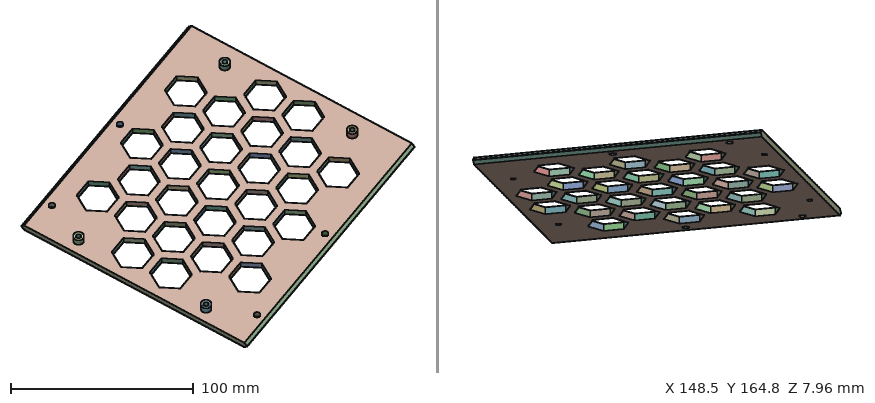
import cadquery as cq
import math

plate_width = 148.5
plate_length = 164.8
edge_bevel = 1.8
tip_height = 0.38
plate_thickness = 2 * edge_bevel + tip_height

hexagon_across_flats = 20.0
hexagon_pitch = 25.0
windows_per_row = [2, 5, 4, 5, 4, 5, 2]

total_height = 2 * plate_thickness
post_diameter = 6.0
post_bore = 2.8
post_spacing_x = 83.9
post_spacing_y = 143.9
post_margin = 7.9

side_hole_diameter = 3.6
side_hole_spacing_x = 135.0
side_hole_spacing_y = 67.0
side_hole_margin = 20.0


def corner_points(spacing_x, spacing_y, front_margin):
    """Corners of a rectangle centred in X, placed from the front edge in Y."""
    front_y = front_margin - plate_length / 2
    return [
        (side * spacing_x / 2, y)
        for side in (-1, 1)
        for y in (front_y, front_y + spacing_y)
    ]


def window_centres():
    """Staggered rows, each centred on X = 0, spaced for an even web."""
    row_pitch = hexagon_pitch * math.sqrt(3) / 2
    middle_row = (len(windows_per_row) - 1) / 2
    return [
        ((column - (count - 1) / 2) * hexagon_pitch, (row - middle_row) * row_pitch)
        for row, count in enumerate(windows_per_row)
        for column in range(count)
    ]


def make_plate():
    """Profile in XZ with a narrow blunt tip at each side, extruded along Y."""
    tip_x = plate_width / 2
    flat_x = tip_x - edge_bevel
    tip_bottom = edge_bevel
    tip_top = plate_thickness - edge_bevel
    profile = [
        (-flat_x, 0),
        (flat_x, 0),
        (tip_x, tip_bottom),
        (tip_x, tip_top),
        (flat_x, plate_thickness),
        (-flat_x, plate_thickness),
        (-tip_x, tip_top),
        (-tip_x, tip_bottom),
    ]
    return cq.Workplane("XZ").polyline(profile).close().extrude(plate_length / 2, both=True)


def make_windows():
    corner_radius = hexagon_across_flats / math.sqrt(3)
    corner_angles = [math.radians(30 + 60 * corner) for corner in range(6)]
    windows = cq.Workplane("XY")
    for x, y in window_centres():
        corners = [
            (x + corner_radius * math.cos(angle), y + corner_radius * math.sin(angle))
            for angle in corner_angles
        ]
        windows = windows.polyline(corners).close()
    return windows.extrude(plate_thickness)


def make_cylinders(points, diameter, height):
    return cq.Workplane("XY").pushPoints(points).circle(diameter / 2).extrude(height)


post_points = corner_points(post_spacing_x, post_spacing_y, post_margin)
side_hole_points = corner_points(side_hole_spacing_x, side_hole_spacing_y, side_hole_margin)

result = make_plate().cut(make_windows())
result = result.union(make_cylinders(post_points, post_diameter, total_height))
result = result.cut(make_cylinders(post_points, post_bore, total_height))
result = result.cut(make_cylinders(side_hole_points, side_hole_diameter, plate_thickness))